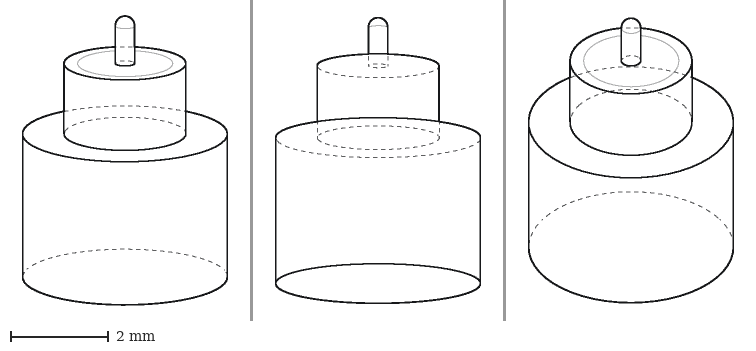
import cadquery as cq
import math

BODY_DIAMETER = 4.2
BODY_HEIGHT = 3.05
NECK_DIAMETER = 2.5
NECK_HEIGHT = 1.5
INSULATOR_DIAMETER = 1.95
PIN_DIAMETER = 0.4
PIN_LENGTH = 1.0

body_radius = BODY_DIAMETER / 2
neck_radius = NECK_DIAMETER / 2
insulator_radius = INSULATOR_DIAMETER / 2
pin_radius = PIN_DIAMETER / 2

neck_top = BODY_HEIGHT + NECK_HEIGHT
pin_top = neck_top + PIN_LENGTH
tip_center = pin_top - pin_radius


def half_profile():
    """Outline of half the part in the XZ plane, on the -X side of the axis."""
    tip_offset = pin_radius * math.sqrt(0.5)
    return (
        cq.Workplane("XZ")
        .moveTo(0, 0)
        .lineTo(-body_radius, 0)
        .lineTo(-body_radius, BODY_HEIGHT)
        .lineTo(-neck_radius, BODY_HEIGHT)
        .lineTo(-neck_radius, neck_top)
        .lineTo(-insulator_radius, neck_top)
        .lineTo(-pin_radius, neck_top)
        .lineTo(-pin_radius, tip_center)
        .threePointArc((-tip_offset, tip_center + tip_offset), (0, pin_top))
        .close()
    )


result = half_profile().revolve(360, (0, 0), (0, 1), clean=False)